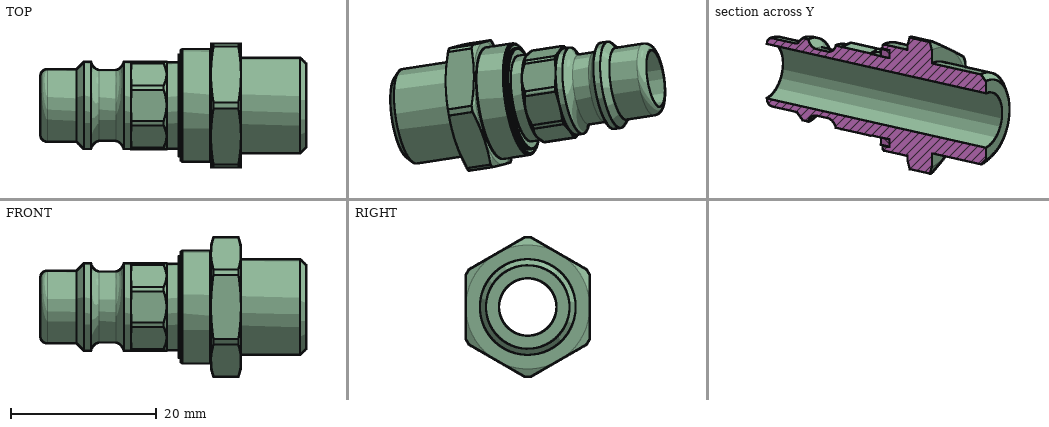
import cadquery as cq
import math

total_length = 36.5
bore_d = 7.85

tip_d = 10.0
tip_fillet = 1.0
collar_d = 12.0
collar_ramp_start = 5.0
collar_start = 6.0
collar_end = 6.97
neck_d = 9.75
shoulder_start = 11.45
neck_flare_length = 1.1
neck_flare_radius = 1.5

octagon_start = 12.45
octagon_end = 17.37
octagon_flats = collar_d
octagon_corner_d = 12.75
octagon_front_chamfer = 0.1
octagon_rear_chamfer = 0.45
stem_d = 11.9

flange_start = 19.27
flange_d = 15.5
flange_chamfer = 0.22
flange_rear_chamfer = 0.15
recess_d = 14.05
recess_depth = 1.1

seal_d = 14.0
seal_protrusion = 0.33
seal_chamfer = 0.09

hexagon_start = 23.45
hexagon_end = 27.52
hexagon_flats = 17.0
hexagon_corner_d = 19.15
hexagon_chamfer = 0.33

spigot_d = 13.15
spigot_chamfer = 0.85


def cylinder(start, end, diameter):
    """Solid cylinder along X between two stations."""
    return cq.Workplane("YZ", origin=(start, 0, 0)).circle(diameter / 2).extrude(end - start)


def revolve_about_x(profile):
    """Turn a closed (x, radius) profile about the X axis."""
    return profile.close().revolve(360, (0, 0, 0), (1, 0, 0))


def polygon_section(sides, start, end, flats, corner_d, face_d, front_chamfer, rear_chamfer, turn):
    """Polygonal prism whose corners are trimmed by a turned, double-chamfered envelope."""
    prism = (
        cq.Workplane("YZ", origin=(start, 0, 0))
        .polygon(sides, flats / math.cos(math.pi / sides))
        .extrude(end - start)
        .rotate((0, 0, 0), (1, 0, 0), turn)
    )
    envelope = revolve_about_x(
        cq.Workplane("XY")
        .moveTo(start, 0)
        .lineTo(start, face_d / 2)
        .lineTo(start + front_chamfer, corner_d / 2)
        .lineTo(end - rear_chamfer, corner_d / 2)
        .lineTo(end, face_d / 2)
        .lineTo(end, 0)
    )
    return prism.intersect(envelope)


def make_plug():
    """Rounded tip, locking collar and necked groove up to the octagon."""
    neck_start = collar_end + neck_flare_length
    neck_end = shoulder_start - neck_flare_length
    tip_arc_offset = tip_fillet * (1 - math.sin(math.pi / 4))
    return revolve_about_x(
        cq.Workplane("XY")
        .lineTo(0, tip_d / 2 - tip_fillet)
        .threePointArc((tip_arc_offset, tip_d / 2 - tip_arc_offset), (tip_fillet, tip_d / 2))
        .lineTo(collar_ramp_start, tip_d / 2)
        .lineTo(collar_start, collar_d / 2)
        .lineTo(collar_end, collar_d / 2)
        .radiusArc((neck_start, neck_d / 2), -neck_flare_radius)
        .lineTo(neck_end, neck_d / 2)
        .radiusArc((shoulder_start, collar_d / 2), -neck_flare_radius)
        .lineTo(octagon_start, collar_d / 2)
        .lineTo(octagon_start, 0)
    )


def make_flange():
    """Chamfered flange with the seal recess in its front face."""
    flange = cylinder(flange_start, hexagon_start, flange_d)
    flange = flange.faces("<X").chamfer(flange_chamfer)
    flange = flange.faces(">X").chamfer(flange_rear_chamfer)
    return flange.cut(cylinder(flange_start, flange_start + recess_depth, recess_d))


def make_fitting():
    """Complete fitting with its through bore."""
    octagon = polygon_section(
        8, octagon_start, octagon_end, octagon_flats, octagon_corner_d, stem_d,
        octagon_front_chamfer, octagon_rear_chamfer, 180 / 8,
    )
    hexagon = polygon_section(
        6, hexagon_start, hexagon_end, hexagon_flats, hexagon_corner_d, hexagon_flats,
        hexagon_chamfer, hexagon_chamfer, 90,
    )
    stem = cylinder(octagon_end, hexagon_start, stem_d)
    spigot = cylinder(hexagon_end, total_length, spigot_d).faces(">X").chamfer(spigot_chamfer)
    body = make_plug().union(octagon).union(stem).union(make_flange()).union(hexagon).union(spigot)
    return body.cut(cylinder(0, total_length, bore_d))


def make_seal():
    """Seal ring seated on the recess floor, around the stem, standing proud of the flange."""
    front = flange_start - seal_protrusion
    back = flange_start + recess_depth
    ring = cylinder(front, back, seal_d).faces("<X").chamfer(seal_chamfer)
    return ring.cut(cylinder(front, back, stem_d))


fitting = make_fitting()
seal = make_seal()
result = cq.Compound.makeCompound([fitting.val(), seal.val()])